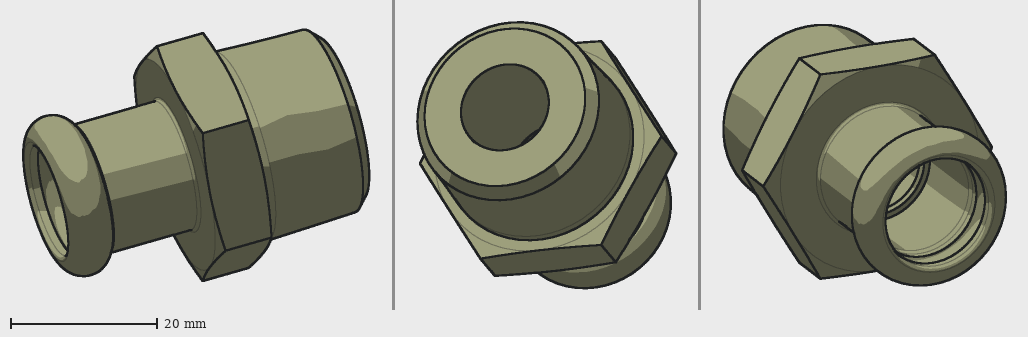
import cadquery as cq
import math

bead_length = 6.4
hex_start = 19.0
hex_end = 27.0
thread_start = 28.5
total_length = 43.0

bead_diameter = 22.7
tube_diameter = 18.3
across_flats = 30.0
hex_chamfer_angle = 15.0
collar_diameter = 26.9
thread_tip_diameter = 26.05
tip_chamfer = 1.5
root_fillet = 0.45

entry_diameter = 15.7
entry_fillet = 0.65
entry_end = 5.75
groove_width = 2.75
groove_diameter = 17.65
socket_diameter = 15.3
socket_start = 6.62
socket_end = hex_start
stop_diameter = 13.6
bore_diameter = 12.6
bore_chamfer = (stop_diameter - bore_diameter) / 2

axis_start = (0, 0, 0)
axis_end = (0, 1, 0)


def revolve_profile(profile):
    """Revolve a closed profile of (radius, Y) points about the Y axis."""
    return profile.close().revolve(360, axis_start, axis_end)


def make_press_end():
    """Tube with a rounded bead at its mouth and a fillet at the hexagon."""
    bead_middle = bead_length / 2
    rim_radius = entry_diameter / 2 + entry_fillet
    tube_radius = tube_diameter / 2
    fillet_center = (tube_radius + root_fillet, hex_start - root_fillet)
    fillet_middle = (
        fillet_center[0] - root_fillet * math.sqrt(0.5),
        fillet_center[1] + root_fillet * math.sqrt(0.5),
    )
    profile = (
        cq.Workplane("XY")
        .lineTo(rim_radius, 0)
        .threePointArc((bead_diameter / 2, bead_middle), (rim_radius, bead_length))
        .lineTo(tube_radius, bead_length)
        .lineTo(tube_radius, hex_start - root_fillet)
        .threePointArc(fillet_middle, (tube_radius + root_fillet, hex_start))
        .lineTo(0, hex_start)
    )
    return revolve_profile(profile)


def make_hexagon():
    """Wrench hexagon with its corners chamfered at both faces."""
    corner_radius = across_flats / math.sqrt(3)
    flat_radius = across_flats / 2
    chamfer_height = (corner_radius - flat_radius) * math.tan(math.radians(hex_chamfer_angle))
    prism = (
        cq.Workplane("XZ", origin=(0, hex_end, 0))
        .polygon(6, 2 * corner_radius)
        .extrude(hex_end - hex_start)
    )
    corner_envelope = revolve_profile(
        cq.Workplane("XY")
        .moveTo(0, hex_start)
        .lineTo(flat_radius, hex_start)
        .lineTo(corner_radius, hex_start + chamfer_height)
        .lineTo(corner_radius, hex_end - chamfer_height)
        .lineTo(flat_radius, hex_end)
        .lineTo(0, hex_end)
    )
    return prism.intersect(corner_envelope)


def make_threaded_end():
    """Short collar followed by a plain tapered thread body."""
    tip_radius = thread_tip_diameter / 2
    profile = (
        cq.Workplane("XY")
        .moveTo(0, hex_end)
        .lineTo(collar_diameter / 2, hex_end)
        .lineTo(collar_diameter / 2, thread_start)
        .lineTo(tip_radius, total_length - tip_chamfer)
        .lineTo(tip_radius - tip_chamfer, total_length)
        .lineTo(0, total_length)
    )
    return revolve_profile(profile)


def make_bore():
    """Stepped passage with a rounded mouth, a seal groove and a pipe stop."""
    entry_radius = entry_diameter / 2
    socket_radius = socket_diameter / 2
    mouth_radius = entry_radius + entry_fillet
    mouth_middle = (
        mouth_radius - entry_fillet * math.sqrt(0.5),
        entry_fillet - entry_fillet * math.sqrt(0.5),
    )
    groove_center = bead_length / 2
    groove_start = groove_center - groove_width / 2
    groove_end = groove_center + groove_width / 2
    profile = (
        cq.Workplane("XY")
        .lineTo(mouth_radius, 0)
        .threePointArc(mouth_middle, (entry_radius, entry_fillet))
        .lineTo(entry_radius, groove_start)
        .threePointArc((groove_diameter / 2, groove_center), (entry_radius, groove_end))
        .lineTo(entry_radius, entry_end)
        .lineTo(socket_radius, socket_start)
        .lineTo(socket_radius, socket_end)
        .lineTo(stop_diameter / 2, socket_end)
        .lineTo(bore_diameter / 2, socket_end + bore_chamfer)
        .lineTo(bore_diameter / 2, total_length)
        .lineTo(0, total_length)
    )
    return revolve_profile(profile)


result = make_press_end().union(make_hexagon()).union(make_threaded_end()).cut(make_bore())